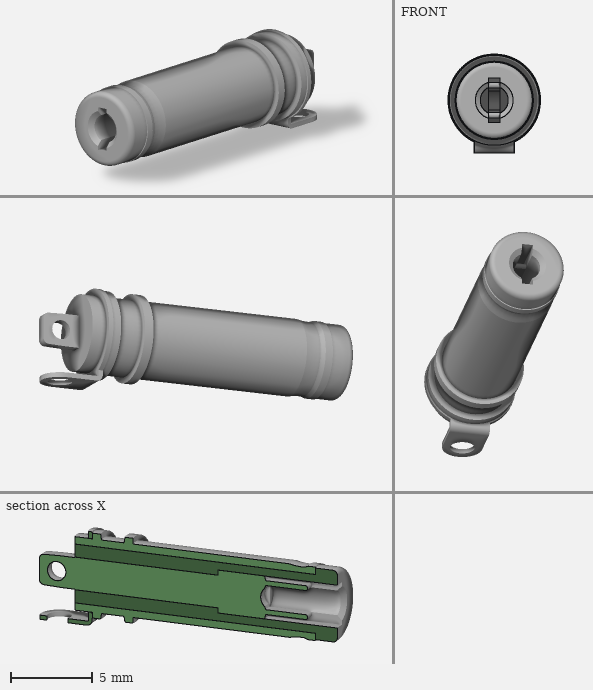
import cadquery as cq

LENGTH = 20.0

SLEEVE_RADIUS = 2.4
SLEEVE_BORE_RADIUS = 1.9
SLEEVE_FRONT = 1.48
SLEEVE_REAR = 17.63
COLLAR_RADIUS = 2.76
COLLAR_FRONT = 13.69
COLLAR_REAR = 14.27
FLANGE_FRONT = 15.87
FACE_BULGE = 0.06
DETENT_RADIUS = 2.3
DETENT_LIP_END = 1.96
DETENT_BOTTOM = 2.26
DETENT_REAR = 3.22
DETENT_SAG = 0.03

SHEET = 0.3
RING_RADIUS = 2.85
RING_REAR = 16.73
RING_FRONT = RING_REAR - SHEET
STRAP_WIDTH = 2.48
STRAP_BOTTOM = -3.25
BEND_RADIUS = 0.4
STRAP_HOLE_RADIUS = 0.76

TIP_RADIUS = 2.35
TIP_FILLET = 0.32
BORE_RADIUS = 0.86
BORE_MOUTH_RADIUS = 1.16
BORE_DEPTH = 4.8
SLOT_HEIGHT = 2.72
SLOT_DEPTH = 8.0

CONTACT_THICKNESS = 0.68
STEM_HEIGHT = 2.06
BLADE_END_HEIGHT = 1.96
BLADE_TAPER_START = 18.53
BLADE_CORNER_RADIUS = 0.35
BLADE_HOLE_RADIUS = 0.6
BLADE_HOLE_Y = 18.83
ARM_TIP = 2.0
ARM_TIP_HEIGHT = 0.1
ARM_INNER = 0.76
ARM_OUTER = 1.1
ROOT_HALF_WIDTH = 0.58
ROOT_SAG = 0.26
SHOULDER_RISE = 0.08


def revolve_about_y(profile):
    """Revolve a closed (Y, radius) profile drawn in the YZ plane about the Y axis."""
    return profile.close().revolve(360, (0, 0, 0), (1, 0, 0))


def bar_along_y(width, height, y_start, y_end):
    """Rectangular bar centred on the Y axis."""
    return (
        cq.Workplane("XY")
        .box(width, y_end - y_start, height, centered=(True, False, True))
        .translate((0, y_start, 0))
    )


def make_sleeve():
    """Metal tube with a detent groove, a collar and a terminal flange."""
    flank_middle_y = (DETENT_BOTTOM + DETENT_REAR) / 2
    flank_middle_radius = (DETENT_RADIUS + SLEEVE_RADIUS) / 2 - DETENT_SAG
    profile = (
        cq.Workplane("YZ")
        .moveTo(SLEEVE_FRONT, SLEEVE_BORE_RADIUS)
        .lineTo(SLEEVE_FRONT, SLEEVE_RADIUS)
        .lineTo(DETENT_LIP_END, SLEEVE_RADIUS)
        .lineTo(DETENT_BOTTOM, DETENT_RADIUS)
        .threePointArc((flank_middle_y, flank_middle_radius), (DETENT_REAR, SLEEVE_RADIUS))
        .lineTo(COLLAR_FRONT, SLEEVE_RADIUS)
        .lineTo(COLLAR_FRONT, COLLAR_RADIUS)
        .lineTo(COLLAR_REAR, COLLAR_RADIUS)
        .lineTo(COLLAR_REAR + FACE_BULGE, SLEEVE_RADIUS)
        .lineTo(FLANGE_FRONT - FACE_BULGE, SLEEVE_RADIUS)
        .lineTo(FLANGE_FRONT, COLLAR_RADIUS)
        .lineTo(RING_FRONT, COLLAR_RADIUS)
        .lineTo(RING_FRONT, SLEEVE_RADIUS)
        .lineTo(SLEEVE_REAR, SLEEVE_RADIUS)
        .lineTo(SLEEVE_REAR, SLEEVE_BORE_RADIUS)
    )
    return revolve_about_y(profile)


def make_sleeve_terminal():
    """Ring seated behind the flange, bent below the sleeve into a solder tag with an eye."""
    ring = (
        cq.Workplane("XZ", origin=(0, RING_REAR, 0))
        .circle(RING_RADIUS)
        .extrude(SHEET)
    )
    strap = (
        cq.Workplane("YZ")
        .moveTo(RING_FRONT, -SLEEVE_RADIUS)
        .lineTo(RING_FRONT, STRAP_BOTTOM + BEND_RADIUS)
        .radiusArc((RING_FRONT + BEND_RADIUS, STRAP_BOTTOM), -BEND_RADIUS)
        .lineTo(LENGTH, STRAP_BOTTOM)
        .lineTo(LENGTH, STRAP_BOTTOM + SHEET)
        .lineTo(RING_REAR, STRAP_BOTTOM + SHEET)
        .lineTo(RING_REAR, -SLEEVE_RADIUS)
        .close()
        .extrude(STRAP_WIDTH / 2, both=True)
    )
    end_radius = STRAP_WIDTH / 2
    eye_y = LENGTH - end_radius
    strap_outline = (
        cq.Workplane("XY", origin=(0, 0, STRAP_BOTTOM))
        .moveTo(-end_radius, RING_FRONT)
        .lineTo(end_radius, RING_FRONT)
        .lineTo(end_radius, eye_y)
        .threePointArc((0, LENGTH), (-end_radius, eye_y))
        .close()
        .extrude(-STRAP_BOTTOM)
    )
    eye = (
        cq.Workplane("XY", origin=(0, eye_y, STRAP_BOTTOM))
        .circle(STRAP_HOLE_RADIUS)
        .extrude(SHEET)
    )
    sleeve_hole = (
        cq.Workplane("XZ", origin=(0, RING_REAR, 0))
        .circle(SLEEVE_RADIUS)
        .extrude(SHEET)
    )
    return ring.union(strap.intersect(strap_outline)).cut(eye).cut(sleeve_hole)


def make_insulator():
    """Rounded tip and core, with a pin bore and a stepped slot for the contact."""
    profile = (
        cq.Workplane("YZ")
        .moveTo(0, 0)
        .lineTo(0, TIP_RADIUS - TIP_FILLET)
        .radiusArc((TIP_FILLET, TIP_RADIUS), TIP_FILLET)
        .lineTo(SLEEVE_FRONT, TIP_RADIUS)
        .lineTo(SLEEVE_FRONT, SLEEVE_BORE_RADIUS)
        .lineTo(SLEEVE_REAR, SLEEVE_BORE_RADIUS)
        .lineTo(SLEEVE_REAR, 0)
    )
    mouth_depth = BORE_MOUTH_RADIUS - BORE_RADIUS
    bore_profile = (
        cq.Workplane("YZ")
        .moveTo(0, 0)
        .lineTo(0, BORE_MOUTH_RADIUS)
        .lineTo(mouth_depth, BORE_RADIUS)
        .lineTo(BORE_DEPTH, BORE_RADIUS)
        .lineTo(BORE_DEPTH, 0)
    )
    return (
        revolve_about_y(profile)
        .cut(revolve_about_y(bore_profile))
        .cut(bar_along_y(CONTACT_THICKNESS, SLOT_HEIGHT, 0, SLOT_DEPTH))
        .cut(bar_along_y(CONTACT_THICKNESS, STEM_HEIGHT, SLOT_DEPTH, SLEEVE_REAR))
    )


def make_contact_arm(side):
    """Round-tipped spring arm above (side = 1) or below (side = -1) the pin axis."""
    arm_middle = (ARM_INNER + ARM_OUTER) / 2
    arm_side_start = ARM_TIP + ARM_TIP_HEIGHT
    return (
        cq.Workplane("YZ")
        .moveTo(SLOT_DEPTH, side * ARM_INNER)
        .lineTo(arm_side_start, side * ARM_INNER)
        .threePointArc((ARM_TIP, side * arm_middle), (arm_side_start, side * ARM_OUTER))
        .lineTo(SLOT_DEPTH, side * ARM_OUTER)
        .close()
        .extrude(CONTACT_THICKNESS / 2, both=True)
    )


def make_centre_contact():
    """Flat tuning-fork contact with a stem that ends in a solder blade."""
    shoulder_y = BORE_DEPTH + SHOULDER_RISE
    base_half = SLOT_HEIGHT / 2
    base = (
        cq.Workplane("YZ")
        .moveTo(shoulder_y, ROOT_HALF_WIDTH)
        .lineTo(BORE_DEPTH, ARM_INNER)
        .lineTo(BORE_DEPTH, ARM_OUTER)
        .lineTo(shoulder_y, base_half)
        .lineTo(SLOT_DEPTH, base_half)
        .lineTo(SLOT_DEPTH, -base_half)
        .lineTo(shoulder_y, -base_half)
        .lineTo(BORE_DEPTH, -ARM_OUTER)
        .lineTo(BORE_DEPTH, -ARM_INNER)
        .lineTo(shoulder_y, -ROOT_HALF_WIDTH)
        .threePointArc((shoulder_y + ROOT_SAG, 0), (shoulder_y, ROOT_HALF_WIDTH))
        .close()
        .extrude(CONTACT_THICKNESS / 2, both=True)
    )
    stem_half = STEM_HEIGHT / 2
    end_half = BLADE_END_HEIGHT / 2
    stem = (
        cq.Workplane("YZ")
        .polyline([
            (SLOT_DEPTH, -stem_half),
            (BLADE_TAPER_START, -stem_half),
            (LENGTH, -end_half),
            (LENGTH, end_half),
            (BLADE_TAPER_START, stem_half),
            (SLOT_DEPTH, stem_half),
        ])
        .close()
        .extrude(CONTACT_THICKNESS / 2, both=True)
        .faces(">Y").edges("|X").fillet(BLADE_CORNER_RADIUS)
    )
    blade_hole = (
        cq.Workplane("YZ")
        .center(BLADE_HOLE_Y, 0)
        .circle(BLADE_HOLE_RADIUS)
        .extrude(CONTACT_THICKNESS / 2, both=True)
    )
    contact = base.union(stem).cut(blade_hole)
    for side in (1, -1):
        contact = contact.union(make_contact_arm(side))
    return contact


sleeve = make_sleeve()
sleeve_terminal = make_sleeve_terminal()
insulator = make_insulator()
centre_contact = make_centre_contact()

result = cq.Compound.makeCompound([
    sleeve.solids().val(),
    sleeve_terminal.solids().val(),
    insulator.solids().val(),
    centre_contact.solids().val(),
])